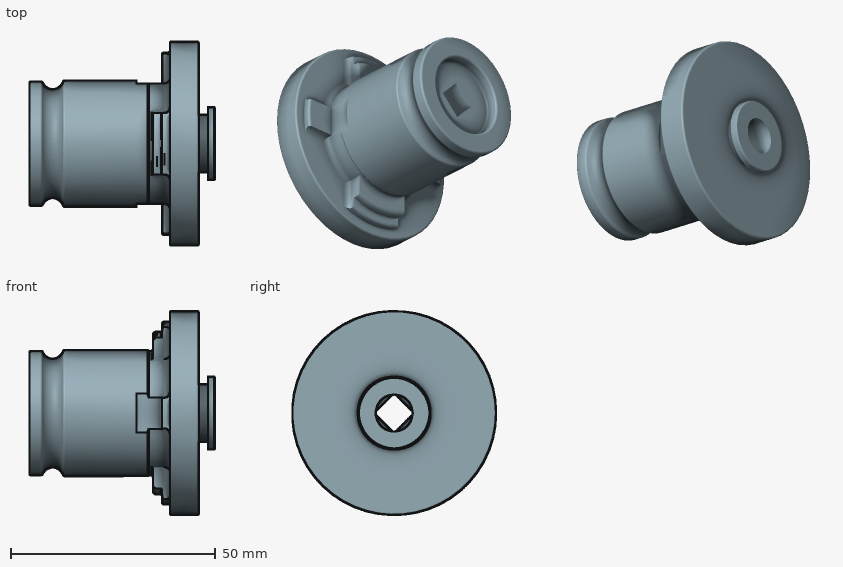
import cadquery as cq
import math


margin = 0.05
overlap = 0.5

groove_center_x = 5.7
body_end_x = 28.9
neck_start_x = 29.25
step_front_x = 30.25
lug_front_x = 32.5
flange_front_x = 34.4
flange_back_x = 41.5
disc_front_x = 43.75
part_length = 45.5

rim_radius = 15.25
body_radius = 15.5
neck_radius = 15.25
flange_radius = 25.0
hub_radius = 14.2 / 2
disc_radius = 17.9 / 2

rim_round = 0.5
rim_groove_round = 0.6
body_groove_round = 0.6
flange_round = 0.5
disc_chamfer = 0.3

groove_radius = 2.7
groove_center_radius = 16.05

recess_radius = 20.1 / 2
recess_depth = 3.2
recess_round = 0.55
drive_square = 7.0
bore_radius = 9.0 / 2

foot_fillet = 1.4
foot_fillet_bulge = foot_fillet * (1 - math.sqrt(0.5))
foot_fillet_start_x = flange_front_x - foot_fillet
lug_radius = 22.4
lug_round = 0.6
side_lug_width = 7.5
step_lug_width = 15.0
step_radius = 20.0
step_round = 1.0
step_corner_fillet = 0.25
root_fillet = 0.35

flat_start_x = 26.3
flat_distance = 14.75


def turn(profile):
    """Revolve an (x, radius) profile about the X axis."""
    return profile.close().revolve(360, (0, 0, 0), (1, 0, 0))


def cylinder(start_x, end_x, radius):
    return cq.Workplane("YZ", origin=(start_x, 0, 0)).circle(radius).extrude(end_x - start_x)


def edges_within(start_x, end_x, reach, whole_edge=False):
    """Select edges between two stations; whole_edge tests the full extent of each edge, not its centre."""
    return cq.selectors.BoxSelector(
        (start_x - margin, -reach - margin, -reach - margin),
        (end_x + margin, reach + margin, reach + margin),
        boundingbox=whole_edge,
    )


def make_body():
    groove_half_width = math.sqrt(groove_radius**2 - (groove_center_radius - body_radius) ** 2)
    rim_half_width = math.sqrt(groove_radius**2 - (groove_center_radius - rim_radius) ** 2)
    groove_start_x = groove_center_x - rim_half_width
    groove_end_x = groove_center_x + groove_half_width
    body = turn(
        cq.Workplane("XY")
        .lineTo(0, rim_radius)
        .lineTo(groove_start_x, rim_radius)
        .threePointArc((groove_center_x, groove_center_radius - groove_radius), (groove_end_x, body_radius))
        .lineTo(body_end_x, body_radius)
        .lineTo(neck_start_x, neck_radius)
        .lineTo(flange_front_x, neck_radius)
        .lineTo(flange_front_x, 0)
    )
    body = body.faces("<X").edges().fillet(rim_round)
    rim_edge = edges_within(groove_start_x, groove_start_x, rim_radius)
    body_edge = edges_within(groove_end_x, groove_end_x, body_radius)
    return body.edges(rim_edge).fillet(rim_groove_round).edges(body_edge).fillet(body_groove_round)


def make_flange():
    flange = cylinder(flange_front_x, flange_back_x, flange_radius).edges().fillet(flange_round)
    hub = cylinder(flange_back_x, disc_front_x, hub_radius)
    disc = cylinder(disc_front_x, part_length, disc_radius).faces(">X").edges().chamfer(disc_chamfer)
    return flange.union(hub).union(disc)


def make_neck_fillet():
    """Concave ring between the neck and the flange face."""
    return turn(
        cq.Workplane("XY")
        .moveTo(foot_fillet_start_x, neck_radius - overlap)
        .lineTo(foot_fillet_start_x, neck_radius)
        .threePointArc(
            (flange_front_x - foot_fillet_bulge, neck_radius + foot_fillet_bulge),
            (flange_front_x, neck_radius + foot_fillet),
        )
        .lineTo(flange_front_x, neck_radius - overlap)
    )


def make_lug_bar(front_x, width):
    """Bar along Z through the axis, flared by a concave fillet on each side where it meets the flange."""
    half_width = width / 2
    half_bar = (
        cq.Workplane("XY", origin=(0, 0, -lug_radius))
        .moveTo(front_x, 0)
        .lineTo(front_x, half_width)
        .lineTo(foot_fillet_start_x, half_width)
        .threePointArc(
            (flange_front_x - foot_fillet_bulge, half_width + foot_fillet_bulge),
            (flange_front_x, half_width + foot_fillet),
        )
        .lineTo(flange_front_x, 0)
        .close()
        .extrude(2 * lug_radius)
    )
    return half_bar.union(half_bar.mirror("XZ"))


def make_lug_disc():
    return cylinder(lug_front_x, flange_front_x, lug_radius).faces("<X").edges().fillet(lug_round)


def make_side_lugs():
    """Pair of plain lugs on the -Y and +Y sides."""
    bar = make_lug_bar(lug_front_x, side_lug_width).rotate((0, 0, 0), (1, 0, 0), 90)
    return bar.intersect(make_lug_disc())


def make_step_lugs():
    """Pair of two-step lugs on the -Z and +Z sides."""
    step = cylinder(step_front_x, lug_front_x, step_radius).faces("<X").edges().fillet(step_round)
    corner = edges_within(lug_front_x, lug_front_x, step_radius)
    stepped_disc = make_lug_disc().union(step).edges(corner).fillet(step_corner_fillet)
    return make_lug_bar(step_front_x, step_lug_width).intersect(stepped_disc)


def add_root_fillet(neck_with_lugs):
    """Fillet the front edge where each two-step lug rises from the neck."""
    root_edges = edges_within(step_front_x, foot_fillet_start_x, neck_radius, whole_edge=True)
    return neck_with_lugs.edges(root_edges).fillet(root_fillet)


def cut_flats(part):
    """Cut the two flats that run along the body up to the side lugs."""
    cutter = cq.Workplane("XY", origin=(flat_start_x, flat_distance, 0)).box(
        lug_front_x - flat_start_x, body_radius, 2 * body_radius, centered=(False, False, True)
    )
    return part.cut(cutter).cut(cutter.mirror("XZ"))


def cut_recess(part):
    """Cut the round recess, filleted at its floor and rounded at its mouth."""
    recess = cylinder(0, recess_depth, recess_radius).faces(">X").edges().fillet(recess_round)
    mouth = cq.selectors.RadiusNthSelector(0)
    return part.cut(recess).faces("<X").edges(mouth).fillet(recess_round)


def cut_drive_hole(part):
    """Cut the square hole, standing on its corner, and the round bore that continues it."""
    square = (
        cq.Workplane("YZ")
        .rect(drive_square, drive_square)
        .extrude(flange_front_x)
        .rotate((0, 0, 0), (1, 0, 0), 45)
    )
    bore = cylinder(flange_front_x, part_length, bore_radius)
    return part.cut(square).cut(bore)


neck_with_step_lugs = add_root_fillet(make_body().union(make_step_lugs()))
front = neck_with_step_lugs.union(make_neck_fillet()).union(make_side_lugs())
result = cut_drive_hole(cut_recess(cut_flats(front)).union(make_flange()))